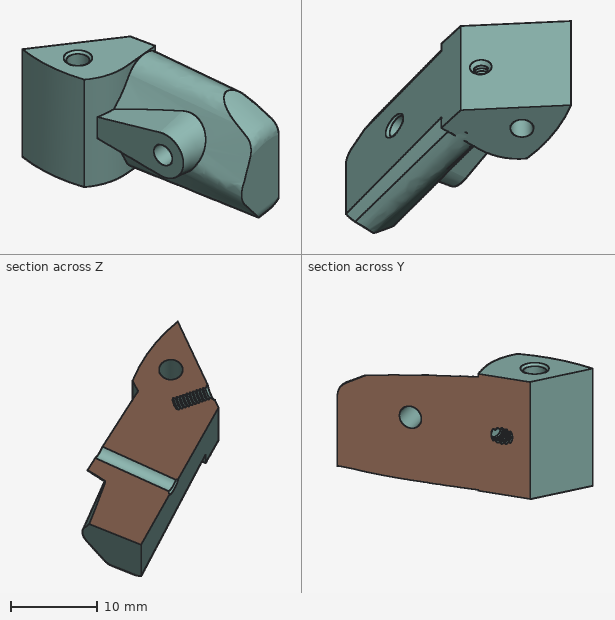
import cadquery as cq
import math

block_height = 14.87
tip = (0, 1.05)
back_corner = (8.25, 10.87)
side_x = 11.82
back_slope = 0.05
nose_corner = (9.72, 0.27)
front_low_point = (6.3, 0)
side_round_radius = 7.67

hole_diameter = 2.7
pin_hole_x = 6.28
pin_hole_y = 3.5
pin_hole_rim = 3.32
boss_hole_rim = 3.2
screw_minor = 1.63
screw_major = 2.0
screw_rim = 2.55
screw_pitch = 0.4
screw_turns = 10
hole_clearance = 0.3
screw_y = 9.1

arm_start_x = 10.65
arm_end_x = 29.92
arm_tilt = math.degrees(math.atan(back_slope))
end_pivot = (29.62, 4.35)
facet_x = 23.7
facet_z = 13.8
facet_slope = 0.54
facet_crown_radius = 13.33
facet_crown_y = 9.33
envelope_start_x = 8.9
envelope_back_y = 17.77
end_round_radius = 2.0
end_round_low_z = 0.47
arm_low_z = -1.78

boss_x = 20.3
boss_z = 7.97
boss_radius = 3.0
boss_front_y = 1.5
boss_root_y = 7.1
boss_root_x = 9.77
boss_draft = 8
boss_side_angle = 9.2


def back_y(x):
    """Y of the shared back face of the block and the arm."""
    return back_corner[1] + back_slope * (x - back_corner[0])


def make_block():
    side_center = (side_x - side_round_radius, 0)
    drop = math.sqrt(side_round_radius**2 - (nose_corner[0] - side_center[0]) ** 2)
    round_start_y = nose_corner[1] + drop
    half_angle = math.asin(drop / side_round_radius) / 2
    round_middle = (
        side_center[0] + side_round_radius * math.cos(half_angle),
        round_start_y - side_round_radius * math.sin(half_angle),
    )
    return (
        cq.Workplane("XY")
        .moveTo(*tip)
        .lineTo(*back_corner)
        .lineTo(side_x, back_y(side_x))
        .lineTo(side_x, round_start_y)
        .threePointArc(round_middle, nose_corner)
        .threePointArc(front_low_point, tip)
        .close()
        .extrude(block_height)
    )


def arm_section(x, back_top_z, top_back, top, top_front, nose_top, nose, nose_low,
                bottom_front, bottom, bottom_back, back_low_z):
    """Closed (Y, Z) outline at x: flat back, rounded top, front nose and rounded bottom."""
    return (
        cq.Workplane("YZ", origin=(x, 0, 0))
        .moveTo(back_y(x), back_top_z)
        .lineTo(*top_back)
        .threePointArc(top, top_front)
        .lineTo(*nose_top)
        .threePointArc(nose, nose_low)
        .lineTo(*bottom_front)
        .threePointArc(bottom, bottom_back)
        .lineTo(back_y(x), back_low_z)
        .close()
        .wires()
        .val()
    )


def make_arm():
    start = arm_section(
        x=arm_start_x,
        back_top_z=13.65,
        top_back=(10.65, 14.45),
        top=(8.83, 14.95),
        top_front=(6.0, 13.57),
        nose_top=(2.87, 9.25),
        nose=(2.58, 7.55),
        nose_low=(3.38, 5.8),
        bottom_front=(5.42, 1.65),
        bottom=(8.77, 0.03),
        bottom_back=(9.85, 0.39),
        back_low_z=1.95,
    )
    end = arm_section(
        x=arm_end_x,
        back_top_z=11.73,
        top_back=(11.67, 12.53),
        top=(10.07, 13.25),
        top_front=(7.38, 11.58),
        nose_top=(4.92, 6.15),
        nose=(4.38, 4.6),
        nose_low=(4.95, 3.05),
        bottom_front=(7.73, -0.15),
        bottom=(9.83, -1.07),
        bottom_back=(10.85, -0.7),
        back_low_z=0.15,
    )
    body = cq.Workplane(cq.Solid.makeLoft([start, end], True))
    return body.intersect(make_arm_envelope())


def make_arm_envelope():
    """Limits of the arm: level top, crowned sloping facet and rounded end."""
    end_x = end_pivot[0]
    low_center_x = end_x - end_round_radius
    diagonal = end_round_radius * math.sqrt(0.5)
    profile = (
        cq.Workplane("XZ", origin=(0, envelope_back_y, 0))
        .moveTo(envelope_start_x, arm_low_z)
        .lineTo(envelope_start_x, block_height)
        .lineTo(end_x, block_height)
        .lineTo(end_x, end_round_low_z)
        .threePointArc(
            (low_center_x + diagonal, end_round_low_z - diagonal),
            (low_center_x, end_round_low_z - end_round_radius),
        )
        .lineTo(low_center_x, arm_low_z)
        .close()
        .extrude(envelope_back_y)
    )
    downhill = cq.Vector(1, 0, -facet_slope).normalized()
    uphill_normal = cq.Vector(facet_slope, 0, 1).normalized()
    facet_start = cq.Vector(facet_x, facet_crown_y, facet_z)
    axis_middle = facet_start - uphill_normal * facet_crown_radius
    reach = 4 * facet_crown_radius
    crown = cq.Workplane(
        cq.Solid.makeCylinder(
            facet_crown_radius, 2 * reach, axis_middle - downhill * reach, downhill
        )
    )
    envelope = profile.intersect(crown).faces(">X").edges(">Z").fillet(end_round_radius)
    return envelope.rotate((*end_pivot, 0), (*end_pivot, 1), arm_tilt)


def make_boss():
    angle = math.radians(boss_side_angle)
    tangent_x = boss_x - boss_radius * math.sin(angle)
    tangent_half = boss_radius * math.cos(angle)
    root_half = tangent_half - (tangent_x - boss_root_x) * math.tan(angle)
    return (
        cq.Workplane("XZ", origin=(0, boss_front_y, 0))
        .moveTo(boss_root_x, boss_z - root_half)
        .lineTo(tangent_x, boss_z - tangent_half)
        .threePointArc((boss_x + boss_radius, boss_z), (tangent_x, boss_z + tangent_half))
        .lineTo(boss_root_x, boss_z + root_half)
        .close()
        .extrude(boss_front_y - boss_root_y, taper=-boss_draft)
    )


def countersink_depth(diameter, rim):
    """Depth of a 45 degree countersink."""
    return (rim - diameter) / 2


def countersunk_hole(start, direction, diameter, rim, depth):
    """Round hole with a 45 degree countersink at its start point."""
    cone = cq.Solid.makeCone(
        rim / 2 + hole_clearance,
        diameter / 2,
        countersink_depth(diameter, rim) + hole_clearance,
        start - direction * hole_clearance,
        direction,
    )
    bore = cq.Solid.makeCylinder(diameter / 2, depth, start, direction)
    return cq.Workplane(bore.fuse(cone))


def make_pin_hole():
    """Vertical hole through the block."""
    start = cq.Vector(pin_hole_x, pin_hole_y, block_height)
    depth = block_height + hole_clearance
    return countersunk_hole(start, cq.Vector(0, 0, -1), hole_diameter, pin_hole_rim, depth)


def make_boss_hole():
    """Hole through arm and boss, countersunk at the back face."""
    start = cq.Vector(boss_x, back_y(boss_x), boss_z)
    return countersunk_hole(start, cq.Vector(0, -1, 0), hole_diameter, boss_hole_rim, start.y)


def make_screw_hole():
    """Blind hole square to the slanted face, its thread made of V-shaped ring grooves."""
    run = back_corner[0] - tip[0]
    rise = back_corner[1] - tip[1]
    axis = cq.Vector(rise, -run, 0).normalized()
    start_x = tip[0] + (screw_y - tip[1]) * run / rise
    start = cq.Vector(start_x, screw_y, block_height / 2)
    thread_start = countersink_depth(screw_minor, screw_rim)
    depth = thread_start + screw_pitch * screw_turns
    hole = countersunk_hole(start, axis, screw_minor, screw_rim, depth)
    for turn in range(screw_turns):
        groove = start + axis * (thread_start + (turn + 0.5) * screw_pitch)
        for side in (axis, -axis):
            flank = cq.Solid.makeCone(
                screw_major / 2, screw_minor / 2, screw_pitch / 2, groove, side
            )
            hole = hole.union(cq.Workplane(flank))
    return hole


result = (
    make_block()
    .union(make_arm())
    .union(make_boss())
    .cut(make_pin_hole())
    .cut(make_boss_hole())
    .cut(make_screw_hole())
)